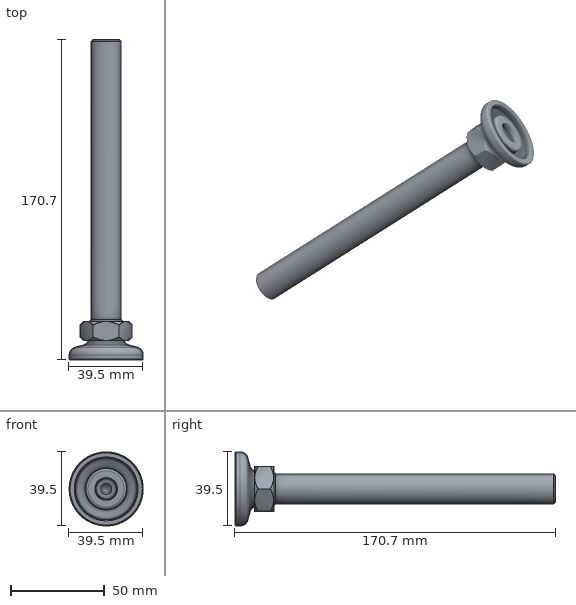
import cadquery as cq
import math


total_length = 170.7
foot_radius = 39.47 / 2

shaft_radius = 8.0
shaft_chamfer = 1.0
collar_radius = 8.9
collar_height = 0.9

hex_across_flats = 24.0
hex_base = 10.4
hex_height = 10.3
hex_top = hex_base + hex_height
hex_face_radius = 11.9

rim_chamfer = 0.5
rim_height = 2.7
shoulder_bend_radius = 4.3
shoulder_slope = 15.0
skirt_radius = 12.3
foot_top_radius = 9.4

cavity_mouth_radius = 17.0
cavity_wall_radius = 16.4
cavity_mouth_chamfer = cavity_mouth_radius - cavity_wall_radius
cavity_wall_height = 3.6
cavity_edge_radius = 15.8
cavity_edge_rise = 0.4
cavity_floor_radius = 11.2
cavity_floor_height = 6.0
boss_radius = 10.9
boss_bottom = 4.3

neck_radius = 7.0
head_radius = boss_radius
head_bottom = 1.0
head_fillet = 1.3

hole_mouth_radius = 6.0
hole_radius = 5.4
hole_mouth_depth = 2.0
hole_depth = 3.6
hole_cone_rise = 0.5
pilot_mouth_radius = 2.9
pilot_radius = 2.0
pilot_chamfer = pilot_mouth_radius - pilot_radius
pilot_tip_rise = 1.3


def revolve_about_y(profile):
    return profile.close().revolve(360, (0, 0, 0), (0, 1, 0))


def make_hexagon():
    """Hexagon with flats facing +Z and -Z and its corners turned down on both ends."""
    corner_radius = hex_across_flats / math.sqrt(3)
    corner_cut = corner_radius - hex_face_radius
    prism = (
        cq.Workplane("XZ", origin=(0, hex_top, 0))
        .polygon(6, 2 * corner_radius)
        .extrude(hex_height)
    )
    turned_blank = revolve_about_y(
        cq.Workplane("XY")
        .moveTo(0, hex_base)
        .lineTo(hex_face_radius, hex_base)
        .lineTo(corner_radius, hex_base + corner_cut)
        .lineTo(corner_radius, hex_top - corner_cut)
        .lineTo(hex_face_radius, hex_top)
        .lineTo(0, hex_top)
    )
    return prism.intersect(turned_blank)


def make_stud():
    """Round shaft, hexagon, neck and drilled head as one solid."""
    shaft = revolve_about_y(
        cq.Workplane("XY")
        .moveTo(0, hex_base)
        .lineTo(collar_radius, hex_base)
        .lineTo(collar_radius, hex_top)
        .lineTo(shaft_radius, hex_top + collar_height)
        .lineTo(shaft_radius, total_length - shaft_chamfer)
        .lineTo(shaft_radius - shaft_chamfer, total_length)
        .lineTo(0, total_length)
    )
    hole_end = head_bottom + hole_depth
    pilot_start = hole_end + hole_cone_rise
    head = revolve_about_y(
        cq.Workplane("XY")
        .moveTo(hole_mouth_radius, head_bottom)
        .lineTo(head_radius - head_fillet, head_bottom)
        .tangentArcPoint((head_radius, head_bottom + head_fillet), relative=False)
        .lineTo(head_radius, boss_bottom)
        .lineTo(neck_radius, boss_bottom)
        .lineTo(neck_radius, hex_top)
        .lineTo(0, hex_top)
        .lineTo(0, pilot_start + pilot_chamfer + pilot_tip_rise)
        .lineTo(pilot_radius, pilot_start + pilot_chamfer)
        .lineTo(pilot_mouth_radius, pilot_start)
        .lineTo(hole_radius, hole_end)
        .lineTo(hole_radius, head_bottom + hole_mouth_depth)
    )
    return shaft.union(make_hexagon()).union(head)


def make_foot():
    """Hollow foot with a rounded shoulder, sloping skirt, flared top and a boss around the neck."""
    slope = math.radians(shoulder_slope)
    shoulder_radius = foot_radius - shoulder_bend_radius * (1 - math.sin(slope))
    shoulder_height = rim_height + shoulder_bend_radius * math.cos(slope)
    skirt_height = shoulder_height + (shoulder_radius - skirt_radius) * math.tan(slope)
    return revolve_about_y(
        cq.Workplane("XY")
        .moveTo(cavity_mouth_radius, 0)
        .lineTo(foot_radius - rim_chamfer, 0)
        .lineTo(foot_radius, rim_chamfer)
        .lineTo(foot_radius, rim_height)
        .tangentArcPoint((shoulder_radius, shoulder_height), relative=False)
        .lineTo(skirt_radius, skirt_height)
        .tangentArcPoint((foot_top_radius, hex_base), relative=False)
        .lineTo(neck_radius, hex_base)
        .lineTo(neck_radius, boss_bottom)
        .lineTo(boss_radius, boss_bottom)
        .lineTo(boss_radius, cavity_floor_height)
        .lineTo(cavity_floor_radius, cavity_floor_height)
        .lineTo(cavity_edge_radius, cavity_wall_height + cavity_edge_rise)
        .lineTo(cavity_wall_radius, cavity_wall_height)
        .lineTo(cavity_wall_radius, cavity_mouth_chamfer)
    )


stud = make_stud()
foot = make_foot()

result = cq.Compound.makeCompound([stud.val(), foot.val()])